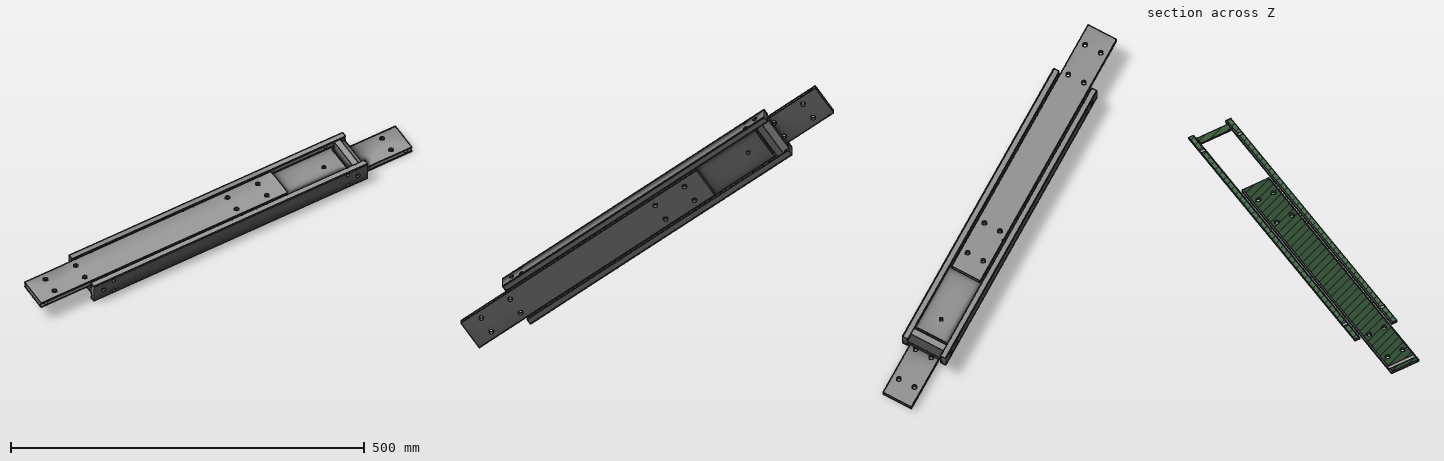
import cadquery as cq


rail_length = 450.0
rail_width = 70.0
rail_height = 32.0
channel_width = 52.5
web_thickness = 10.0
web_length = 401.5
web_corner_radius = 5.0
outer_chamfer = 1.0
pin_hole_diameter = 5.5
pin_hole_y = 193.0
screw_hole_diameter = 2.5
screw_head_diameter = 7.5
screw_head_depth = 2.5
screw_y = 209.0
web_hole_diameter = 5.5
web_hole_y = 174.0

overall_length = 610.0
slider_length = 405.5
slider_width = 46.0
slider_thickness = 10.0
slider_hole_diameter = 7.0
slider_hole_spacing_x = 25.0
slider_hole_pitch_y = 50.0
slider_hole_end_offset = 28.0
cross_hole_diameter = 6.0
cross_hole_end_offset = 9.0

track_diameter = 7.5
track_offset = 5.5

stop_length = 19.0
stop_ramp_length = 9.0
stop_reach = 14.0

half_width = rail_width / 2
half_height = rail_height / 2
half_channel = channel_width / 2
half_web = web_thickness / 2
half_rail_length = rail_length / 2
flange_thickness = half_width - half_channel
track_x = (half_channel + slider_width / 2) / 2
track_z = half_height - track_offset
slider_z = half_height - slider_thickness / 2
slider_outer_y = -overall_length / 2
slider_inner_y = slider_outer_y + slider_length


def half_turn(body):
    """Turn a body half a revolution about the X axis."""
    return body.rotate((0, 0, 0), (1, 0, 0), 180)


def cross_hole(diameter, y, z):
    """A cylinder along X that spans the full width of the slide."""
    return cq.Workplane("YZ").center(y, z).circle(diameter / 2).extrude(half_width, both=True)


def track_bore(side, z):
    """Round bore along Y, centred in the gap between a slider edge and the flange on that side of X."""
    return (
        cq.Workplane("XZ")
        .center(side * track_x, z)
        .circle(track_diameter / 2)
        .extrude(overall_length, both=True)
    )


def countersink(side, y):
    """Countersunk screw hole through one flange of the rail; side is +1 or -1 along X."""
    head_radius = screw_head_diameter / 2
    hole_radius = screw_hole_diameter / 2
    mouth = cq.Vector(side * half_width, y, 0)
    inward = cq.Vector(-side, 0, 0)
    head = cq.Solid.makeCone(head_radius, hole_radius, screw_head_depth, mouth, inward)
    shank = cq.Solid.makeCylinder(hole_radius, flange_thickness, mouth, inward)
    return head.fuse(shank)


def make_rail():
    rail = (
        cq.Workplane("XY")
        .box(rail_width, rail_length, rail_height)
        .edges("|Y")
        .chamfer(outer_chamfer)
    )

    channel_depth = half_height - half_web
    for side in (1, -1):
        channel_z = side * (half_web + channel_depth / 2)
        channel = cq.Workplane("XY").box(channel_width, rail_length, channel_depth)
        rail = rail.cut(channel.translate((0, 0, channel_z)))

    pocket_length = half_rail_length - web_length / 2
    pocket_y = web_length / 2 + pocket_length / 2
    pocket = (
        cq.Workplane("XY")
        .box(channel_width, pocket_length, web_thickness)
        .edges("|Z and <Y")
        .fillet(web_corner_radius)
        .translate((0, pocket_y, 0))
    )
    web_hole = (
        cq.Workplane("XY")
        .center(0, web_hole_y)
        .circle(web_hole_diameter / 2)
        .extrude(half_web, both=True)
    )
    for tool in (pocket, web_hole):
        rail = rail.cut(tool).cut(half_turn(tool))

    for z in (track_z, -track_z):
        for side in (1, -1):
            rail = rail.cut(track_bore(side, z))
        for y in (pin_hole_y, -pin_hole_y):
            rail = rail.cut(cross_hole(pin_hole_diameter, y, z))

    for side in (1, -1):
        for y in (screw_y, -screw_y):
            rail = rail.cut(countersink(side, y))
    return rail


def make_slider():
    """The upper slider, extended toward -Y."""
    center_y = (slider_outer_y + slider_inner_y) / 2
    slider = (
        cq.Workplane("XY")
        .box(slider_width, slider_length, slider_thickness)
        .translate((0, center_y, slider_z))
    )

    for side in (1, -1):
        slider = slider.cut(track_bore(side, track_z))

    row_offset = slider_length / 2 - slider_hole_end_offset
    hole_points = [
        (side * slider_hole_spacing_x / 2, center_y + end * offset)
        for side in (1, -1)
        for end in (1, -1)
        for offset in (row_offset, row_offset - slider_hole_pitch_y)
    ]
    mounting_holes = (
        cq.Workplane("XY")
        .pushPoints(hole_points)
        .circle(slider_hole_diameter / 2)
        .extrude(half_height)
    )
    slider = slider.cut(mounting_holes)

    return slider.cut(cross_hole(cross_hole_diameter, slider_outer_y + cross_hole_end_offset, track_z))


def make_end_stop():
    """The stop at the +Y end: a bar between the flanges with a ramped block above it."""
    outer_y = half_rail_length
    inner_y = outer_y - stop_length
    profile = [
        (inner_y, -half_web),
        (outer_y, -half_web),
        (outer_y, half_web),
        (outer_y - stop_ramp_length, stop_reach),
        (inner_y, stop_reach),
    ]
    return cq.Workplane("YZ").polyline(profile).close().extrude(half_channel, both=True)


rail = make_rail()

upper_slider = make_slider()
sliders = [upper_slider, half_turn(upper_slider)]

back_stop = make_end_stop()
end_stops = [back_stop, half_turn(back_stop)]

bodies = [rail, *sliders, *end_stops]
result = cq.Compound.makeCompound([body.val() for body in bodies])